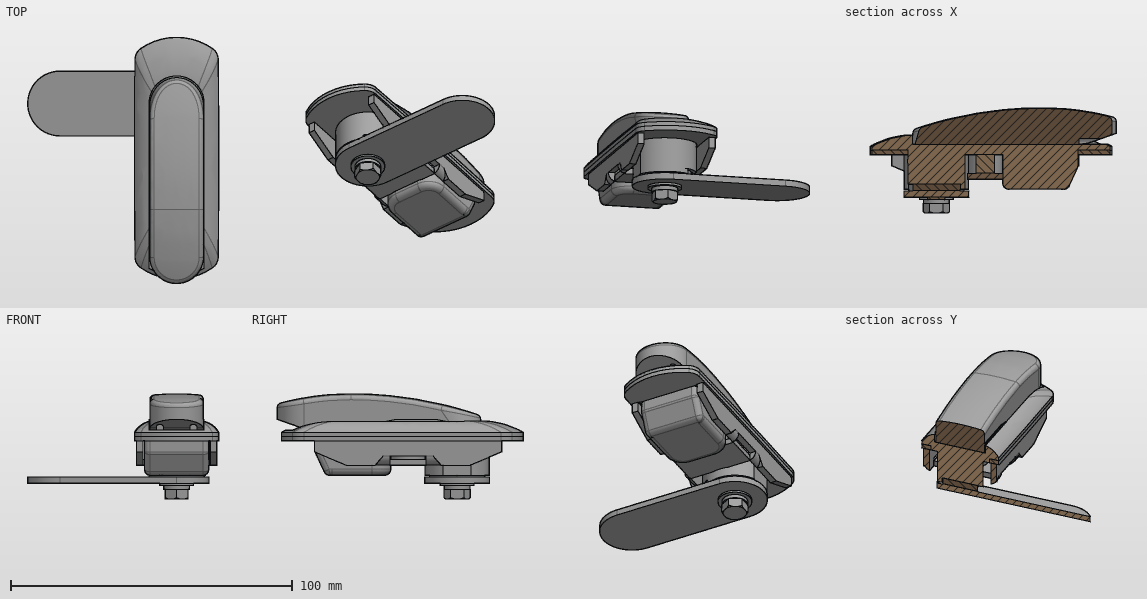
import cadquery as cq
import math


bezel_mid_y = -19.4
bezel_half_width = 14.8
bezel_side_bulge = 0.3
bezel_half_straight = 37.4
bezel_end_arch = 5.6
bezel_corner_radius = 4.9
gasket_t = 1.7
lip_top = 3.1
dome_height = 4.1
dome_edge_tilt = 60
dome_end_radius = 29.2
dome_steps = 6

slot_half_width = 9.8
slot_floor = 3.85
handle_half_width = 9.5
handle_end_y = -54.4
handle_blank_top = 21.0
handle_nose_base_y = -0.8
handle_nose_top_y = -12.8
handle_nose_base_tip = 9.2
handle_nose_top_tip = 5.7
crest_y = -37.7
crest_z = 16.8
crest_rear_radius = 140.0
crest_front_radius = 96.25
crown_radius = 77.0
handle_edge_fillet = 1.75
underside_slope = 19.4
underside_break_y = -53.1
underside_blend_radius = 17.5
groove_x = 5.95
groove_width = 2.45
groove_height = 1.9
groove_corner = 0.8
groove_end_y = -50.75
pad_mid_y = -14.6
pad_length = 22.3
pad_flat_length = 13.7
pad_top = 7.7
pad_bottom = 6.8
pad_t = slot_half_width - handle_half_width

boss_radius = 11.5
boss_bottom = -12.25
boss_flat_x = 10.3
box_half_width = 11.5
box_front_y = -50.3
box_back_y = -23.5
box_bottom = -12.25
box_slope_top = -4.4
box_slope_run = 3.7
box_back_corner = 6.65
box_front_corner = 2.0
box_bottom_fillet = 2.3
box_slope_fillet = 2.1
spacer_radius = 6.1

bracket_mid_y = -17.4
bracket_half_length = 33.3
bracket_bottom_half_length = 22.0
bracket_inner_x = 11.9
bracket_t = 2.4
bracket_bottom = -8.7
bracket_end_depth = 3.85
bend_radius = 3.2
relief_top_half = 8.9
relief_bottom_half = 11.7
bridge_half_width = 6.4
bridge_t = 2.1
bridge_half_length = 12.1

disc_radius = 9.9
disc_top = -10.4
cam_top = -12.8
cam_t = 2.3
cam_radius = 11.55
cam_reach = 41.4
washer_radius = 6.0
washer_t = 0.8
spring_washer_radius = 4.6
spring_washer_t = 1.4
hex_flats = 8.1
hex_height = 3.4
hex_chamfer = 0.5
shank_radius = 3.0
stop_notch_y = 5.0
stop_notch_width = 1.05
stop_notch_depth = 0.9
stop_angle = 58
stop_open_y = 9.9

washer_top = cam_top - cam_t
spring_washer_top = washer_top - washer_t
hex_top = spring_washer_top - spring_washer_t
spacer_bottom = bracket_bottom + bridge_t


def cylinder(radius, z_low, z_high, y=0.0):
    return cq.Workplane("XY", origin=(0, y, z_low)).circle(radius).extrude(z_high - z_low)


def box(x0, x1, y0, y1, z0, z1):
    return cq.Workplane("XY").box(x1 - x0, y1 - y0, z1 - z0, centered=False).translate((x0, y0, z0))


def bezel_outline(z, side_inset=0.0, end_inset=0.0):
    """Closed bezel outline at height z: bowed sides, arched ends and round corners."""
    half_width = bezel_half_width - side_inset
    half_straight = bezel_half_straight - end_inset
    bow = half_width + bezel_side_bulge
    tip = half_straight + bezel_end_arch
    sharp = (
        cq.Workplane("XY", origin=(0, bezel_mid_y, z))
        .moveTo(half_width, -half_straight)
        .threePointArc((bow, 0), (half_width, half_straight))
        .threePointArc((0, tip), (-half_width, half_straight))
        .threePointArc((-bow, 0), (-half_width, -half_straight))
        .threePointArc((0, -tip), (half_width, -half_straight))
        .close()
        .val()
    )
    return sharp.fillet2D(bezel_corner_radius, sharp.Vertices())


def make_bezel_plate(z_low, z_high):
    outline = bezel_outline(z_low)
    return cq.Workplane(cq.Solid.extrudeLinear(outline, [], cq.Vector(0, 0, z_high - z_low)))


def make_dome():
    """Dome over the lip: arc sections across the sides and longer arcs over the ends."""
    edge_tilt = math.radians(dome_edge_tilt)
    side_radius = dome_height / (1 - math.cos(edge_tilt))
    end_run = math.sqrt(dome_end_radius**2 - (dome_end_radius - dome_height) ** 2)
    sections = []
    for step in range(dome_steps + 1):
        tilt = edge_tilt * (1 - step / dome_steps)
        drop = side_radius * (1 - math.cos(tilt))
        side_inset = side_radius * (math.sin(edge_tilt) - math.sin(tilt))
        end_inset = end_run - math.sqrt(dome_end_radius**2 - (dome_end_radius - drop) ** 2)
        height = lip_top + dome_height - drop
        sections.append(bezel_outline(height, side_inset, end_inset))
    return cq.Workplane(cq.Solid.makeLoft(sections))


def housing_core(z_low, z_high):
    """Part of the housing that fills the gasket opening."""
    return box(-box_half_width, box_half_width, box_front_y, 0, z_low, z_high).union(
        cylinder(boss_radius, z_low, z_high)
    )


def make_bezel():
    bezel = make_bezel_plate(gasket_t, lip_top).union(make_dome())
    slot_length = 87.5
    slot = box(-slot_half_width, slot_half_width, -slot_length, 0, slot_floor, handle_blank_top)
    slot = slot.union(cylinder(slot_half_width, slot_floor, handle_blank_top))
    return bezel.cut(slot)


def make_lock_box():
    """Filleted box with a sloping front, under the grip end of the handle."""
    sloped = (
        cq.Workplane("YZ")
        .moveTo(box_back_y, 0)
        .lineTo(box_front_y, 0)
        .lineTo(box_front_y, box_slope_top)
        .lineTo(box_front_y + box_slope_run, box_bottom)
        .lineTo(box_back_y, box_bottom)
        .close()
        .extrude(box_half_width, both=True)
    )
    sloped = sloped.edges("|Z and >Y").fillet(box_back_corner)
    slope_edge = cq.selectors.NearestToPointSelector((0, box_front_y, box_slope_top))
    sloped = sloped.edges(slope_edge).fillet(box_slope_fillet)
    front_edges = cq.selectors.BoxSelector(
        (-2 * box_half_width, box_front_y - 0.9, box_bottom - 0.9),
        (2 * box_half_width, box_front_y + box_slope_run - 0.9, -0.9),
    )
    sloped = sloped.edges(front_edges).edges("not |X").fillet(box_front_corner)
    return sloped.faces("<Z").edges().fillet(box_bottom_fillet)


def make_stop_boss():
    """Round boss with a flat on each side, hollowed below for the disc and open towards -X."""
    boss = cylinder(boss_radius, boss_bottom, 0)
    boss = boss.intersect(
        box(-boss_flat_x, boss_flat_x, -boss_radius, boss_radius, boss_bottom, 0)
    )
    boss = boss.cut(cylinder(disc_radius, boss_bottom, disc_top))
    far_x = -2 * boss_radius
    opening = (
        cq.Workplane("XY", origin=(0, 0, boss_bottom))
        .polyline([
            (0, 0),
            (0, stop_open_y),
            (far_x, stop_open_y),
            (far_x, far_x * math.tan(math.radians(stop_angle))),
        ])
        .close()
        .extrude(disc_top - boss_bottom)
    )
    return boss.cut(opening)


def make_housing():
    housing = make_bezel().union(housing_core(0, gasket_t))
    return housing.union(make_lock_box()).union(make_stop_boss())


def make_spacer(housing):
    """Round spacer between the housing and the bridge of the bracket."""
    return cylinder(spacer_radius, spacer_bottom, 0, bracket_mid_y).cut(housing)


def make_gasket():
    return make_bezel_plate(0, gasket_t).cut(housing_core(0, gasket_t))


def handle_outline(z, nose_y, nose_tip):
    """Handle outline: round grip end, straight sides and an elliptical nose."""
    nose = cq.Edge.makeEllipse(
        nose_tip - nose_y, handle_half_width, pnt=(0, nose_y, z), dir=(0, 0, 1), xdir=(0, 1, 0),
        angle1=-90, angle2=90,
    )
    right_front = cq.Vector(handle_half_width, handle_end_y, z)
    left_front = cq.Vector(-handle_half_width, handle_end_y, z)
    right_nose = cq.Vector(handle_half_width, nose_y, z)
    left_nose = cq.Vector(-handle_half_width, nose_y, z)
    grip_tip = cq.Vector(0, handle_end_y - handle_half_width, z)
    return cq.Wire.assembleEdges([
        cq.Edge.makeLine(right_front, right_nose),
        nose,
        cq.Edge.makeLine(left_nose, left_front),
        cq.Edge.makeThreePointArc(left_front, grip_tip, right_front),
    ])


def crest_solid(radius, y_from, y_to):
    """Solid under a crowned crest of the given radius, between two Y positions."""
    half_width = 2 * handle_half_width
    crown_drop = crown_radius - math.sqrt(crown_radius**2 - half_width**2)
    depth = 2 * handle_blank_top
    turned = (
        cq.Workplane("XZ", origin=(0, crest_y, 0))
        .moveTo(-half_width, crest_z - depth)
        .lineTo(-half_width, crest_z - crown_drop)
        .threePointArc((0, crest_z), (half_width, crest_z - crown_drop))
        .lineTo(half_width, crest_z - depth)
        .close()
        .revolve(360, (0, crest_z - radius, 0), (1, crest_z - radius, 0))
    )
    return turned.intersect(box(-half_width, half_width, y_from, y_to, 0, depth))


def make_side_pad():
    """Low trapezoidal guide pad, built on the +X side of the handle."""
    return (
        cq.Workplane("YZ", origin=(handle_half_width, pad_mid_y, 0))
        .polyline([
            (-pad_length / 2, pad_bottom),
            (pad_length / 2, pad_bottom),
            (pad_flat_length / 2, pad_top),
            (-pad_flat_length / 2, pad_top),
        ])
        .close()
        .extrude(pad_t)
    )


def round_rim(half):
    """Fillet the rim of the crowned top, leaving the crest line where the halves join."""
    crest_line = cq.selectors.BoxSelector((-0.9, crest_y - 0.9, crest_z - 0.9), (0.9, crest_y + 0.9, crest_z + 0.9))
    rim = half.faces("%REVOLUTION").edges(cq.selectors.InverseSelector(crest_line))
    return rim.fillet(handle_edge_fillet)


def make_handle():
    blank = cq.Workplane(cq.Solid.makeLoft([
        handle_outline(slot_floor, handle_nose_base_y, handle_nose_base_tip),
        handle_outline(handle_blank_top, handle_nose_top_y, handle_nose_top_tip),
    ], True))
    overrun = 43.75
    rear = round_rim(blank.intersect(crest_solid(crest_rear_radius, crest_y, overrun)))
    front = round_rim(blank.intersect(crest_solid(crest_front_radius, crest_y - overrun, crest_y)))
    handle = rear.union(front)

    pad = make_side_pad()
    handle = handle.union(pad).union(pad.mirror("YZ"))
    handle = handle.cut(make_underside_relief())
    for side in (-1, 1):
        handle = handle.cut(make_underside_groove(side * groove_x))
    return handle


def make_underside_relief():
    """Sloping finger clearance below the grip end, blended into the flat underside."""
    slope = math.radians(underside_slope)
    tangent_length = underside_blend_radius * math.tan(slope / 2)
    far_y = handle_end_y - 2 * handle_half_width
    blend_start_y = underside_break_y + tangent_length
    blend_angle = slope / 2
    blend_mid = (
        blend_start_y - underside_blend_radius * math.sin(blend_angle),
        slot_floor + underside_blend_radius * (1 - math.cos(blend_angle)),
    )
    blend_end = (
        underside_break_y - tangent_length * math.cos(slope),
        slot_floor + tangent_length * math.sin(slope),
    )
    return (
        cq.Workplane("YZ")
        .moveTo(blend_start_y, slot_floor)
        .threePointArc(blend_mid, blend_end)
        .lineTo(far_y, slot_floor + (underside_break_y - far_y) * math.tan(slope))
        .lineTo(far_y, slot_floor)
        .close()
        .extrude(2 * handle_half_width, both=True)
    )


def make_underside_groove(x):
    """Round-topped groove in the underside, open towards the grip end."""
    far_y = handle_end_y - 2 * handle_half_width
    groove = box(
        x - groove_width / 2, x + groove_width / 2, far_y, groove_end_y,
        slot_floor, slot_floor + groove_height,
    )
    return groove.edges("|Y and >Z").fillet(groove_corner)


def make_bracket(housing):
    """Two side plates joined by a bridge that is shaped around the housing."""
    half_width = bracket_inner_x + bracket_t
    notch_top = bracket_bottom + bend_radius
    plate = (
        cq.Workplane("YZ", origin=(bracket_inner_x, bracket_mid_y, 0))
        .polyline([
            (-bracket_half_length, 0),
            (bracket_half_length, 0),
            (bracket_half_length, -bracket_end_depth),
            (bracket_bottom_half_length, bracket_bottom),
            (-bracket_bottom_half_length, bracket_bottom),
            (-bracket_half_length, -bracket_end_depth),
        ])
        .close()
        .extrude(bracket_t)
    )

    relief = (
        cq.Workplane("YZ", origin=(0, bracket_mid_y, 0))
        .polyline([
            (-relief_bottom_half, bracket_bottom),
            (relief_bottom_half, bracket_bottom),
            (relief_top_half, notch_top),
            (-relief_top_half, notch_top),
        ])
        .close()
        .extrude(2 * half_width)
    )
    bend = (
        cq.Workplane("XZ", origin=(half_width - bend_radius, 0, notch_top))
        .circle(bend_radius)
        .extrude(3 * bracket_half_length)
    )
    plate = plate.cut(relief.cut(bend))

    bridge_back_y = bracket_mid_y + bridge_half_width
    bridge_front_y = bracket_mid_y - bridge_half_width
    opening = box(0, 2 * half_width, bridge_front_y, bridge_back_y, bracket_bottom, notch_top)
    plate = plate.cut(opening)

    bridge = box(
        -bridge_half_length, bridge_half_length, bridge_front_y, bridge_back_y,
        bracket_bottom, spacer_bottom,
    )
    bracket = bridge.union(plate).union(plate.mirror("YZ"))
    return bracket.cut(housing)


def make_disc():
    """Spindle disc with a stop notch, bored for the bolt."""
    disc = cylinder(disc_radius, cam_top, disc_top).cut(cylinder(shank_radius, cam_top, disc_top))
    rim_x = -math.sqrt(disc_radius**2 - stop_notch_y**2)
    notch = box(
        -disc_radius, rim_x + stop_notch_depth,
        stop_notch_y - stop_notch_width / 2, stop_notch_y + stop_notch_width / 2,
        cam_top, disc_top,
    )
    return disc.cut(notch)


def make_cam():
    """Flat cam with round ends, reaching towards -X."""
    cam = box(-cam_reach, 0, -cam_radius, cam_radius, washer_top, cam_top)
    for x in (-cam_reach, 0):
        cam = cam.union(cylinder(cam_radius, washer_top, cam_top).translate((x, 0, 0)))
    return cam.cut(cylinder(shank_radius, washer_top, cam_top))


def make_ring(radius, z_low, z_high):
    return cylinder(radius, z_low, z_high).cut(cylinder(shank_radius, z_low, z_high))


def make_bolt():
    """Hexagon bolt with corners on Y, chamfered on its lower face."""
    corner_radius = hex_flats / math.sqrt(3)
    hex_bottom = hex_top - hex_height
    head = (
        cq.Workplane("XY", origin=(0, 0, hex_bottom))
        .polygon(6, 2 * corner_radius)
        .extrude(hex_height)
        .rotate((0, 0, 0), (0, 0, 1), 90)
    )
    head = head.intersect(cylinder(corner_radius, hex_bottom, hex_top).faces("<Z").chamfer(hex_chamfer))
    return head.union(cylinder(shank_radius, hex_top, disc_top))


housing = make_housing()
gasket = make_gasket()
handle = make_handle()
spacer = make_spacer(housing)
bracket = make_bracket(housing)
disc = make_disc()
cam = make_cam()
washer = make_ring(washer_radius, spring_washer_top, washer_top)
spring_washer = make_ring(spring_washer_radius, hex_top, spring_washer_top)
bolt = make_bolt()

bodies = [housing, gasket, handle, spacer, bracket, disc, cam, washer, spring_washer, bolt]
result = cq.Compound.makeCompound([body.solids().val() for body in bodies])